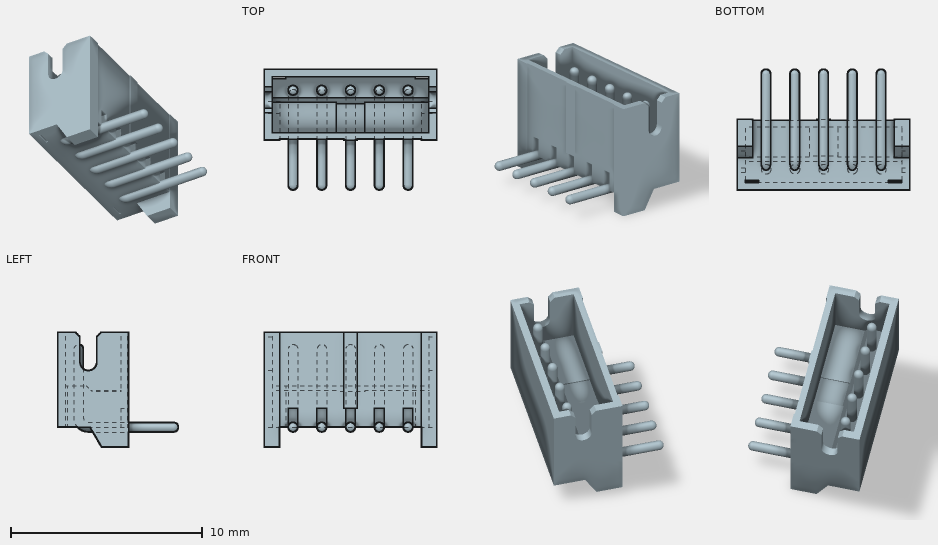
import cadquery as cq
import math


width = 9.0
depth = 3.7
height = 6.0
body_bottom = 1.04
front_relief = 0.05

side_wall = 0.42
end_wall = 0.4
cavity_width = width - 2 * side_wall
cavity_back = depth - end_wall
ledge_floor = 3.2
ledge_front = 2.205
slope_run = 0.23
recess_width = 1.485
recess_run = 0.3

slit_width = 0.69
slit_depth = 0.1

leg_width = 0.81
leg_foot_depth = 1.4
leg_root_depth = 2.02
rib_width = 0.7

notch_width = 0.87
notch_depth = 2.0
notch_y = 2.1
notch_chamfer = 0.24

pin_count = 5
pin_pitch = width / (pin_count + 1)
pin_diameter = 0.5
pin_radius = pin_diameter / 2
pin_y = 2.6
pin_z = body_bottom
pin_top = 5.36
pin_reach = 2.6
bend_radius = 0.495
pin_xs = [(i - (pin_count - 1) / 2) * pin_pitch for i in range(pin_count)]

pin_slot_height = 1.0
pin_slot_top = body_bottom + pin_slot_height


def box(x_center, x_size, y_min, y_max, z_min, z_max):
    """Box centred on x_center and spanning the given Y and Z ranges."""
    return (
        cq.Workplane("XY", origin=(x_center, 0, z_min))
        .center(0, (y_min + y_max) / 2)
        .rect(x_size, y_max - y_min)
        .extrude(z_max - z_min)
    )


def extrude_side_profile(profile, x_size):
    """Extrude a closed YZ profile symmetrically about X = 0."""
    return profile.extrude(x_size / 2, both=True)


def make_end(side):
    """Outer strip of the housing: the front pad, with the leg below it."""
    outline = [
        (0, 0),
        (leg_foot_depth, 0),
        (leg_root_depth, body_bottom),
        (depth, body_bottom),
        (depth, height),
        (0, height),
    ]
    x_start = -width / 2 if side < 0 else width / 2 - leg_width
    return cq.Workplane("YZ", origin=(x_start, 0, 0)).polyline(outline).close().extrude(leg_width)


def make_cavity(x_size, run):
    """Open-topped cavity whose floor drops from the raised ledge by a 45 degree slope of the given run."""
    floor = ledge_floor - run
    outline = [
        (end_wall, floor),
        (ledge_front - run, floor),
        (ledge_front, ledge_floor),
        (cavity_back, ledge_floor),
        (cavity_back, height),
        (end_wall, height),
    ]
    return extrude_side_profile(cq.Workplane("YZ").polyline(outline).close(), x_size)


def make_notch():
    """Round-bottomed notch with chamfered mouth, running through both side walls."""
    half = notch_width / 2
    bottom = height - notch_depth
    profile = (
        cq.Workplane("YZ")
        .moveTo(notch_y - half - notch_chamfer, height)
        .lineTo(notch_y - half, height - notch_chamfer)
        .lineTo(notch_y - half, bottom + half)
        .threePointArc((notch_y, bottom), (notch_y + half, bottom + half))
        .lineTo(notch_y + half, height - notch_chamfer)
        .lineTo(notch_y + half + notch_chamfer, height)
        .close()
    )
    return extrude_side_profile(profile, width)


def make_rod(length):
    """Round rod standing on Z = 0, with a hemispherical tip at its far end."""
    shoulder = length - pin_radius
    tip_mid = pin_radius * math.sqrt(0.5)
    return (
        cq.Workplane("XZ")
        .lineTo(pin_radius, 0)
        .lineTo(pin_radius, shoulder)
        .threePointArc((tip_mid, shoulder + tip_mid), (0, length))
        .close()
        .revolve(360, (0, 0, 0), (0, 1, 0))
    )


def make_pin(x):
    """Right-angle round pin with domed tips."""
    bend_y = pin_y - bend_radius
    bend_z = pin_z + bend_radius
    upright = make_rod(pin_top - bend_z).translate((0, pin_y, bend_z))
    horizontal = make_rod(bend_y + pin_reach).rotate((0, 0, 0), (1, 0, 0), 90).translate((0, bend_y, pin_z))
    bend = (
        cq.Workplane("XY", origin=(0, pin_y, bend_z))
        .circle(pin_radius)
        .revolve(90, (0, -bend_radius, 0), (-1, -bend_radius, 0))
    )
    return upright.union(bend).union(horizontal).translate((x, 0, 0))


def make_housing(pins):
    housing = box(0, width - 2 * leg_width, front_relief, depth, body_bottom, height)
    for side in (-1, 1):
        housing = housing.union(make_end(side))
    housing = housing.union(box(0, rib_width, 0, end_wall, pin_slot_top, height))

    housing = housing.cut(make_cavity(cavity_width, slope_run))
    housing = housing.cut(make_cavity(recess_width, recess_run))
    housing = housing.cut(make_notch())

    for side in (-1, 1):
        slit_x = side * (cavity_width - slit_width) / 2
        slit = box(slit_x, slit_width, cavity_back - slit_depth, cavity_back, body_bottom, ledge_floor)
        housing = housing.cut(slit)

    for x, pin in zip(pin_xs, pins):
        housing = housing.cut(box(x, pin_diameter, 0, end_wall, body_bottom, pin_slot_top))
        housing = housing.cut(pin)
    return housing


pins = [make_pin(x) for x in pin_xs]
housing = make_housing(pins)

result = cq.Compound.makeCompound([body.solids().val() for body in (housing, *pins)])